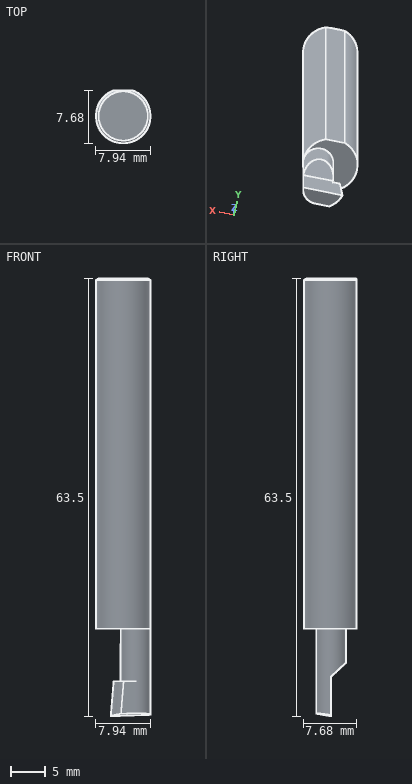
import cadquery as cq
import math


shank_diameter = 7.94
total_length = 63.5
shank_length = 50.8
shank_bottom = total_length - shank_length
flat_offset = 3.71
chamfer_inset = 0.4
chamfer_height = 0.23

neck_diameter = 4.37
neck_radius = neck_diameter / 2
neck_x = shank_diameter / 2 - neck_radius

rake_face_top = 5.75
runout_height = 2.05

head_height = 5.1
tip_x = -1.83
flank_lean = 0.42
primary_flank_width = 0.82
primary_flank_depth = 1.54
primary_flank_radius = 4
secondary_flank_width = 0.65
front_relief_angle = 8.5
end_clearance_angle = 2


def make_shank():
    shank = cq.Workplane("XY").workplane(offset=shank_bottom).circle(shank_diameter / 2).extrude(shank_length)
    shank = shank.faces(">Z").edges().chamfer(chamfer_height, chamfer_inset)
    flat_cutter = (
        cq.Workplane("XY")
        .box(shank_diameter, shank_diameter, total_length, centered=(True, False, False))
        .translate((0, flat_offset, 0))
    )
    return shank.cut(flat_cutter)


def make_neck():
    neck = cq.Workplane("XY").center(neck_x, 0).circle(neck_radius).extrude(shank_bottom)
    runout_top = rake_face_top + runout_height
    cutter = (
        cq.Workplane("YZ")
        .polyline([(0, 0), (0, rake_face_top), (neck_radius, runout_top), (neck_radius, 0)])
        .close()
        .extrude(shank_diameter, both=True)
    )
    return neck.cut(cutter)


def head_section(edge_x, height):
    """Closed head section at a given height whose cutting edge is at edge_x."""
    primary_end = (edge_x + primary_flank_width, -primary_flank_depth)
    secondary_end = (primary_end[0] + secondary_flank_width, -neck_radius)
    return (
        cq.Workplane("XY")
        .workplane(offset=height)
        .moveTo(edge_x, 0)
        .radiusArc(primary_end, -primary_flank_radius)
        .lineTo(*secondary_end)
        .lineTo(neck_x, -neck_radius)
        .lineTo(neck_x, 0)
        .close()
        .val()
    )


def make_head():
    bottom_section = head_section(tip_x, 0)
    top_section = head_section(tip_x + flank_lean, head_height)
    return cq.Workplane(cq.Solid.makeLoft([bottom_section, top_section], True))


def make_end_relief():
    """Block below the end face, which rises from the tip toward -Y and +X."""
    cutter_width = 4 * shank_diameter
    slope_x = math.tan(math.radians(end_clearance_angle))
    slope_y = math.tan(math.radians(front_relief_angle))
    normal = cq.Vector(-slope_x, slope_y, 1)
    end_plane = cq.Plane(origin=(tip_x, 0, 0), normal=normal)
    return cq.Workplane(end_plane).rect(cutter_width, cutter_width).extrude(-shank_diameter)


tool_end = make_neck().union(make_head()).cut(make_end_relief())
result = make_shank().union(tool_end)